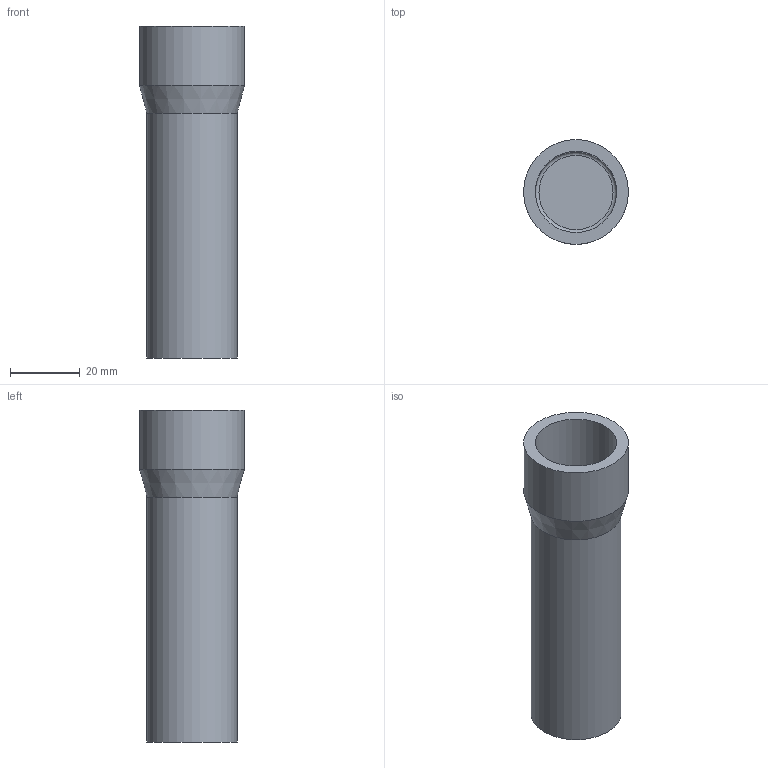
import cadquery as cq

total_height = 95.0
head_diameter = 30.0
head_height = 17.0
taper_height = 8.0
tube_diameter = 25.8
bore_diameter = 23.2
floor_fillet = 1.0

head_radius = head_diameter / 2
tube_radius = tube_diameter / 2
bore_radius = bore_diameter / 2
wall_thickness = tube_radius - bore_radius
floor_thickness = wall_thickness
head_bottom = total_height - head_height
taper_bottom = head_bottom - taper_height


def make_body():
    """Solid of revolution: plain tube, conical taper and wider head."""
    return (
        cq.Workplane("XZ")
        .lineTo(tube_radius, 0)
        .lineTo(tube_radius, taper_bottom)
        .lineTo(head_radius, head_bottom)
        .lineTo(head_radius, total_height)
        .lineTo(0, total_height)
        .close()
        .revolve(360, (0, 0, 0), (0, 1, 0))
    )


def make_bore():
    """Blind bore, open at the head, with a rounded edge around its floor."""
    return (
        cq.Workplane("XY")
        .workplane(offset=floor_thickness)
        .circle(bore_radius)
        .extrude(total_height - floor_thickness)
        .faces("<Z")
        .edges()
        .fillet(floor_fillet)
    )


result = make_body().cut(make_bore())